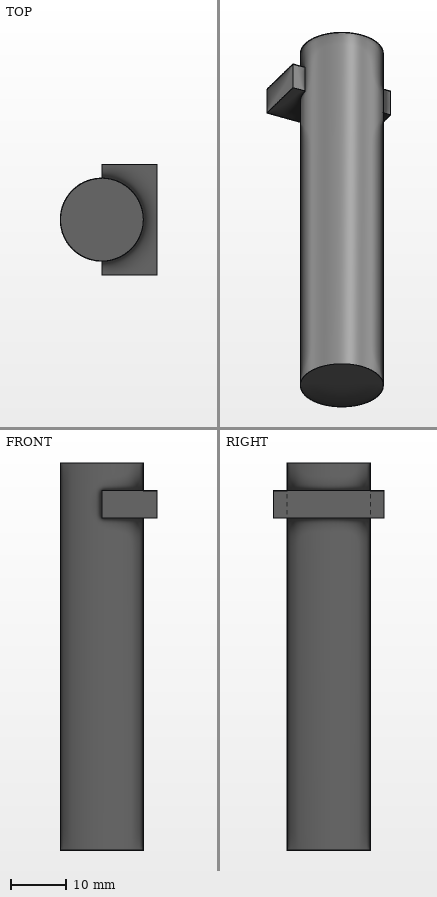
import cadquery as cq

pin_diameter = 15.0
pin_length = 70.0

key_reach = 10.0
key_width = 20.0
key_thickness = 5.0
key_top_gap = 5.0


def make_pin():
    """Plain cylinder standing on the XY plane."""
    return cq.Workplane("XY").circle(pin_diameter / 2).extrude(pin_length)


def make_key():
    """Flat block on the +X side, with its back face on the pin axis."""
    key_bottom = pin_length - key_top_gap - key_thickness
    return (
        cq.Workplane("XY")
        .workplane(offset=key_bottom)
        .center(key_reach / 2, 0)
        .rect(key_reach, key_width)
        .extrude(key_thickness)
    )


result = make_pin().union(make_key())